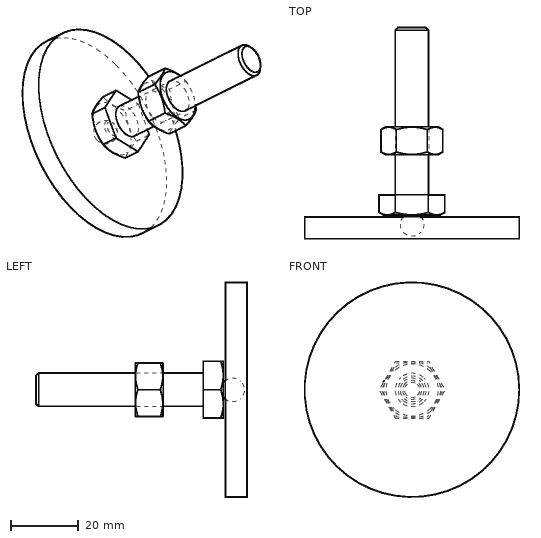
import cadquery as cq
import math

TOTAL_LENGTH = 63.0

PLATE_DIAMETER = 64.0
PLATE_THICKNESS = 6.5

ROD_DIAMETER = 10.0
ROD_TIP_CHAMFER = 0.8
COLLAR_GAP = 0.6
COLLAR_START = PLATE_THICKNESS + COLLAR_GAP
COLLAR_THICKNESS = 6.0
COLLAR_ACROSS_FLATS = 17.0
BALL_RADIUS = 3.5
BALL_DEPTH = 2.1
BALL_CENTRE = PLATE_THICKNESS - BALL_DEPTH

NUT_START = 25.0
NUT_THICKNESS = 8.4
NUT_ACROSS_FLATS = 16.0

CORNER_ANGLE = math.radians(30)
NUT_CIRCLE_RATIO = 0.97
COLLAR_CIRCLE_RATIO = 0.99


def cylinder(diameter, start, length):
    """Solid cylinder on the Y axis, from Y = start towards +Y."""
    return cq.Workplane("XZ", origin=(0, start, 0)).circle(diameter / 2).extrude(-length)


def ball():
    """Ball that joins the stud to the plate."""
    return cq.Workplane("XY").sphere(BALL_RADIUS).translate((0, BALL_CENTRE, 0))


def hexagon(across_flats, start, length, circle_ratio, chamfer_far_end):
    """Hexagonal prism with its corners on X, conically chamfered at the near or both ends."""
    across_corners = across_flats / math.cos(math.pi / 6)
    prism = (
        cq.Workplane("XZ", origin=(0, start, 0))
        .polygon(6, across_corners)
        .extrude(-length)
    )
    corner_radius = across_corners / 2
    radial_cut = corner_radius - circle_ratio * across_flats / 2
    axial_cut = radial_cut * math.tan(CORNER_ANGLE)
    envelope = cylinder(across_corners, start, length).faces("<Y").chamfer(axial_cut, radial_cut)
    if chamfer_far_end:
        envelope = envelope.faces(">Y").chamfer(axial_cut, radial_cut)
    return prism.intersect(envelope)


def make_plate():
    """Round foot plate with a socket for the ball."""
    return cylinder(PLATE_DIAMETER, 0, PLATE_THICKNESS).cut(ball())


def make_stud():
    """Plain rod, hexagonal collar and ball as one solid."""
    rod = cylinder(ROD_DIAMETER, COLLAR_START, TOTAL_LENGTH - COLLAR_START)
    rod = rod.faces(">Y").chamfer(ROD_TIP_CHAMFER)
    collar = hexagon(
        COLLAR_ACROSS_FLATS,
        COLLAR_START,
        COLLAR_THICKNESS,
        COLLAR_CIRCLE_RATIO,
        chamfer_far_end=False,
    )
    return rod.union(collar).union(ball())


def make_nut():
    """Lock nut, bored to the rod diameter."""
    blank = hexagon(NUT_ACROSS_FLATS, NUT_START, NUT_THICKNESS, NUT_CIRCLE_RATIO, chamfer_far_end=True)
    return blank.cut(cylinder(ROD_DIAMETER, NUT_START, NUT_THICKNESS))


plate = make_plate()
stud = make_stud()
nut = make_nut()

result = cq.Compound.makeCompound([plate.val(), stud.val(), nut.val()])